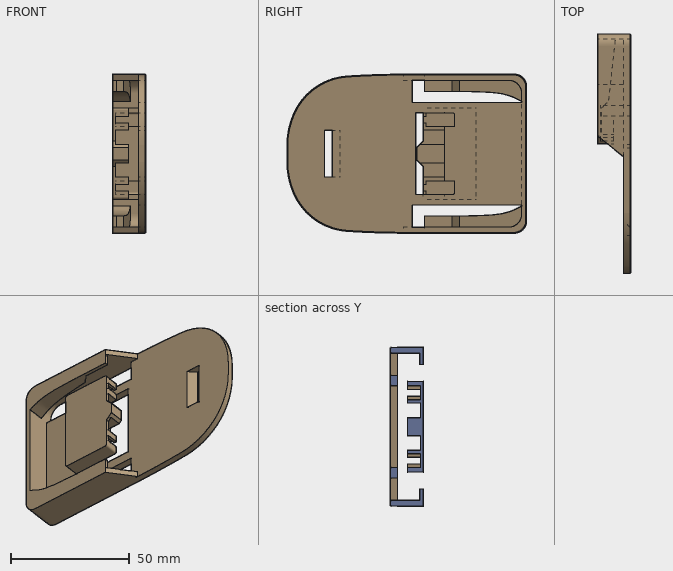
import cadquery as cq

LENGTH = 100.9
HEIGHT = 67.0
DEPTH = 13.9

FRONT_X = -DEPTH / 2
BACK_X = DEPTH / 2
REAR_Y = LENGTH / 2
TIP_Y = -LENGTH / 2
HALF_HEIGHT = HEIGHT / 2

PLATE_THICKNESS = 3.1
PLATE_X = BACK_X - PLATE_THICKNESS
TAIL_START_Y = -0.4
TAIL_SHOULDER = (-25.0, 32.7)
TAIL_TIP_CORNER = (-47.6, 16.9)
TAIL_FLAT_HALF = 3.5
CORNER_RADIUS = 5.2
BACK_EDGE_CHAMFER = 0.4

SIDE_WALL = 2.6
REAR_WALL = 2.1
WALL_INNER_Z = HALF_HEIGHT - SIDE_WALL
REAR_INNER_Y = REAR_Y - REAR_WALL
WALL_FRONT_Y = 7.5
WALL_FOOT_Y = -1.3
POCKET_CORNER_RADIUS = 5.5

RAIL_INNER_Z = 26.1
RAIL_LIP = 1.5
RAIL_STEP = 3.0
RAIL_STEP_Y = 19.1
RAIL_END_DEPTH = 7.5
RAIL_CURVE_START_Y = 24.9
RAIL_CURVE_DROP = 4.1
RAIL_CURVE_START_HANDLE = 16.1
RAIL_CURVE_END_HANDLE = (5.0, 2.6)

TONGUE_HALF = 21.6
SLOT_FRONT_Y = 2.3

BLOCK_FRONT_Y = 6.9
BLOCK_REAR_Y = 29.1
BLOCK_HALF = 19.2
BLOCK_DEPTH = 6.7
BLOCK_CORNER_RADIUS = 0.9
BLOCK_BACK_X = FRONT_X + BLOCK_DEPTH

TAB_LENGTH = 2.7
TAB_TIP_Y = BLOCK_FRONT_Y - TAB_LENGTH
TAB_TIP_HALF = 2.6
TAB_ROOT_HALF = TAB_TIP_HALF + TAB_LENGTH

NOTCH_SKIN = 1.2
INNER_NOTCH_SPAN = (3.8, 9.9)
OUTER_NOTCH_SPAN = (12.9, 15.6)
HOOK_THICKNESS = 1.2

WINDOW_FRONT_Y = 3.8
WINDOW_REAR_Y = 15.9
CAVITY_REAR_Y = 20.2
CAVITY_SPAN = (11.4, 17.2)
CAVITY_CORNER_RADIUS = 0.9

STRAP_HALF = 9.8
STRAP_REAR_Y = -28.1
STRAP_FRONT_Y = -34.5
STRAP_SLOPE_RUN = 3.3


def box(x_range, y_range, z_range):
    """Box between the given pairs of limits."""
    (x0, x1), (y0, y1), (z0, z1) = x_range, y_range, z_range
    return cq.Workplane("XY").box(x1 - x0, y1 - y0, z1 - z0, centered=False).translate((x0, y0, z0))


def extrude_x(x0, x1, outline):
    """Extrude a (Y, Z) outline, drawn by a function, from x0 to x1."""
    return outline(cq.Workplane("YZ", origin=(x0, 0, 0))).extrude(x1 - x0)


def extrude_z(points, z0, z1):
    """Extrude an (X, Y) polygon from z0 to z1."""
    return cq.Workplane("XY", origin=(0, 0, z0)).polyline(points).close().extrude(z1 - z0)


def both_sides(solid):
    """Join a solid with its mirror image below the middle plane."""
    return solid.union(solid.mirror("XY"))


def half_plate_outline(plane):
    """Upper half of a square rear end that runs into a tail of tangent arcs."""
    return (
        plane.moveTo(REAR_Y, 0)
        .lineTo(REAR_Y, HALF_HEIGHT)
        .lineTo(TAIL_START_Y, HALF_HEIGHT)
        .tangentArcPoint(TAIL_SHOULDER, relative=False)
        .tangentArcPoint(TAIL_TIP_CORNER, relative=False)
        .tangentArcPoint((TIP_Y, TAIL_FLAT_HALF), relative=False)
        .lineTo(TIP_Y, 0)
        .close()
    )


def rail_outline(plane):
    """Rail that widens toward the rear wall along a smooth curve."""
    curve_end_z = RAIL_INNER_Z - RAIL_CURVE_DROP
    end_handle_y, end_handle_z = RAIL_CURVE_END_HANDLE
    return (
        plane.moveTo(WALL_FRONT_Y, HALF_HEIGHT)
        .lineTo(WALL_FRONT_Y, RAIL_INNER_Z)
        .lineTo(RAIL_CURVE_START_Y, RAIL_INNER_Z)
        .bezier([
            (RAIL_CURVE_START_Y, RAIL_INNER_Z),
            (RAIL_CURVE_START_Y + RAIL_CURVE_START_HANDLE, RAIL_INNER_Z),
            (REAR_INNER_Y - end_handle_y, curve_end_z + end_handle_z),
            (REAR_INNER_Y, curve_end_z),
        ])
        .lineTo(REAR_Y, curve_end_z)
        .lineTo(REAR_Y, HALF_HEIGHT)
        .close()
    )


def make_body():
    """Plate and frame walls, hollowed and rounded at the rear corners."""
    frame = extrude_z(
        [(FRONT_X, REAR_Y), (FRONT_X, WALL_FRONT_Y), (PLATE_X, WALL_FOOT_Y), (PLATE_X, REAR_Y)],
        -HALF_HEIGHT,
        HALF_HEIGHT,
    )
    pocket = box(
        (FRONT_X, PLATE_X), (WALL_FOOT_Y, REAR_INNER_Y), (-WALL_INNER_Z, WALL_INNER_Z)
    ).edges("|X and >Y").fillet(POCKET_CORNER_RADIUS)
    plate = both_sides(extrude_x(PLATE_X, BACK_X, half_plate_outline))
    plate = plate.edges("|X and >Y").fillet(CORNER_RADIUS)
    plate = plate.faces(">X").edges().chamfer(BACK_EDGE_CHAMFER)
    frame = frame.edges("|X and >Y").fillet(CORNER_RADIUS)
    return plate.union(frame.cut(pocket))


def make_rail():
    """Upper rail: thin lip, sloped step, then a gently deepening ramp."""
    lip_x = FRONT_X + RAIL_LIP
    step_x = lip_x + RAIL_STEP
    end_x = FRONT_X + RAIL_END_DEPTH
    section = extrude_z(
        [
            (FRONT_X, WALL_FRONT_Y),
            (lip_x, WALL_FRONT_Y),
            (lip_x, RAIL_STEP_Y),
            (step_x, RAIL_STEP_Y + RAIL_STEP),
            (end_x, REAR_INNER_Y),
            (end_x, REAR_Y),
            (FRONT_X, REAR_Y),
        ],
        0,
        HALF_HEIGHT,
    )
    rail = extrude_x(FRONT_X, end_x, rail_outline).intersect(section)
    return rail.edges("|X and >Y and >Z").fillet(CORNER_RADIUS)


def make_slot():
    """Upper slot through the plate that frees one side of the tongue."""
    slot = box((PLATE_X, BACK_X), (SLOT_FRONT_Y, REAR_INNER_Y), (TONGUE_HALF, WALL_INNER_Z))
    return slot.edges("|X and >Y and >Z").fillet(POCKET_CORNER_RADIUS)


def make_block():
    """Block with rounded corners, a front tab and a neck joining it to the tongue."""
    block = box((FRONT_X, BLOCK_BACK_X), (BLOCK_FRONT_Y, BLOCK_REAR_Y), (-BLOCK_HALF, BLOCK_HALF))
    block = block.edges("|X").fillet(BLOCK_CORNER_RADIUS)
    neck = box((BLOCK_BACK_X, PLATE_X), (WINDOW_REAR_Y, BLOCK_REAR_Y), (-BLOCK_HALF, BLOCK_HALF))
    tab_points = [
        (WINDOW_REAR_Y, -TAB_ROOT_HALF),
        (BLOCK_FRONT_Y, -TAB_ROOT_HALF),
        (TAB_TIP_Y, -TAB_TIP_HALF),
        (TAB_TIP_Y, TAB_TIP_HALF),
        (BLOCK_FRONT_Y, TAB_ROOT_HALF),
        (WINDOW_REAR_Y, TAB_ROOT_HALF),
    ]
    tab = extrude_x(FRONT_X, BLOCK_BACK_X, lambda plane: plane.polyline(tab_points).close())
    return block.union(tab).union(neck)


def make_notches():
    """Notches beside the tab, and the side cavities they open into."""
    skin_x = FRONT_X + NOTCH_SKIN
    hook_rear_y = BLOCK_FRONT_Y + HOOK_THICKNESS
    inner = box((skin_x, BLOCK_BACK_X), (TAB_TIP_Y, WINDOW_REAR_Y), INNER_NOTCH_SPAN)
    outer = box((skin_x, BLOCK_BACK_X), (BLOCK_FRONT_Y, hook_rear_y), OUTER_NOTCH_SPAN)
    cavity = box((skin_x, BACK_X), (hook_rear_y, CAVITY_REAR_Y), CAVITY_SPAN)
    cavity = cavity.edges("|X and >Y and >Z").fillet(CAVITY_CORNER_RADIUS)
    return both_sides(inner.union(outer).union(cavity))


def make_window():
    """Window through the plate, reaching from ahead of the block to the neck."""
    _, cavity_outer_z = CAVITY_SPAN
    z_range = (-cavity_outer_z, cavity_outer_z)
    return box((PLATE_X, BACK_X), (WINDOW_FRONT_Y, WINDOW_REAR_Y), z_range)


def make_strap_slot():
    """Slot through the tail whose rear wall slopes."""
    return extrude_z(
        [
            (PLATE_X, STRAP_FRONT_Y),
            (PLATE_X, STRAP_REAR_Y),
            (BACK_X, STRAP_REAR_Y - STRAP_SLOPE_RUN),
            (BACK_X, STRAP_FRONT_Y),
        ],
        -STRAP_HALF,
        STRAP_HALF,
    )


body = make_body().union(both_sides(make_rail()))
body = body.cut(both_sides(make_slot()))
body = body.union(make_block())
result = body.cut(make_notches()).cut(make_window()).cut(make_strap_slot())